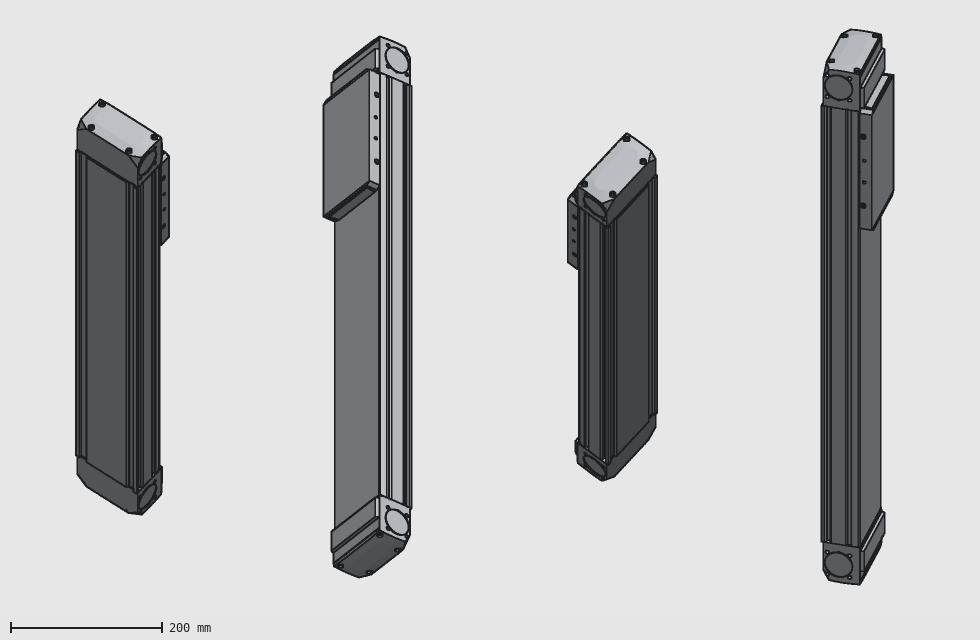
import cadquery as cq
import math

length = 811.0
width = 102.0
depth = 70.0
half_length = length / 2
half_width = width / 2

profile_front = -depth / 2
housing_front = -32.5
housing_back = 18.0
carriage_back = depth / 2

profile_half_length = 344.0
strip_thickness = 2.5
shoulder_radius = 19.5
shoulder_height = 9.0
profile_back = housing_back - strip_thickness
shoulder_start = profile_back - shoulder_height
shoulder_inset = shoulder_radius - math.sqrt(shoulder_radius**2 - shoulder_height**2)
strip_half_width = half_width - shoulder_inset

slot_chamfer = 2.5
front_slot_depth = 4.0
front_slot_outer = 45.5
front_slot_inner = 33.0
side_slot_front = -31.0
side_slot_back = -21.0
side_slot_depth = 6.0
side_slot_bevel = 2.5
groove_back = 6.5
groove_front = -2.0
groove_depth = 3.0

oval_y = -6.1
oval_center_x = 26.0
oval_radius = 12.0
slope_angle = 8.5
slope_reach = 49.0
slope_drop = slope_reach * math.tan(math.radians(slope_angle))

corner_cut_xz = 18.0
corner_cut_y = 10.0
bore_diameter = 38.0
bore_depth = 1.2
bore_y = -11.0
bore_z = 376.0
flange_hole_diameter = 5.0
flange_hole_offset_y = 15.5
flange_hole_offset_z = 17.0
flange_hole_depth = 8.0
dowel_diameter = 2.5
screw_head_diameter = 8.0
screw_head_depth = 5.0
screw_hole_diameter = 5.0
screw_hole_depth = 16.0
back_screw_x = 44.0
back_screw_y = 12.0
front_screw_x = 32.0
front_screw_y = -27.0

cover_bottom = 347.0
cover_top = 398.0
cover_thickness = 1.0
rib_bottom = 349.5
rib_top = 381.0
rib_thickness = 5.0
rib_bevel = 2.5

carriage_bottom = 155.0
carriage_top = 346.0
carriage_center_z = (carriage_bottom + carriage_top) / 2
cap_thickness = 5.0
cap_taper = 6.5
seal_thickness = 1.0
seal_margin = 2.5
seal_slant = 2.5
mount_hole_y = 23.0
mount_head_diameter = 7.0
mount_head_depth = 4.0
mount_hole_diameter = 4.0
mount_hole_offset = 54.0
pin_hole_y = 24.0
pin_hole_diameter = 4.0
pin_hole_offset = 17.0
carriage_hole_depth = 8.0


def box(x_size, y_min, y_max, z_min, z_max):
    """Box centred on X between the given Y and Z planes."""
    block = cq.Workplane("XY").box(x_size, y_max - y_min, z_max - z_min, centered=(True, False, False))
    return block.translate((0, y_min, z_min))


def side_hole(side, y, z, diameter, hole_depth):
    """Round cutter entering the -X (side = -1) or +X (side = 1) face."""
    start = cq.Vector(side * half_width, y, z)
    return cq.Workplane(cq.Solid.makeCylinder(diameter / 2, hole_depth, start, cq.Vector(-side, 0, 0)))


def end_screw_hole(x, y):
    """Counterbored screw hole entering the outer end of the top housing."""
    down = cq.Vector(0, 0, -1)
    start = cq.Vector(x, y, half_length)
    head = cq.Solid.makeCylinder(screw_head_diameter / 2, screw_head_depth, start, down)
    shank = cq.Solid.makeCylinder(screw_hole_diameter / 2, screw_hole_depth, start, down)
    return cq.Workplane(head).union(cq.Workplane(shank))


def profile_cut(points):
    """Prism along the whole profile."""
    section = cq.Workplane("XY", origin=(0, 0, -profile_half_length)).polyline(points).close()
    return section.extrude(2 * profile_half_length)


def make_profile():
    arc_angle = math.asin(shoulder_height / shoulder_radius) / 2
    arc_mid_x = half_width - shoulder_radius * (1 - math.cos(arc_angle))
    arc_mid_y = shoulder_start + shoulder_radius * math.sin(arc_angle)
    body = (
        cq.Workplane("XY", origin=(0, 0, -profile_half_length))
        .moveTo(-half_width, profile_front)
        .lineTo(half_width, profile_front)
        .lineTo(half_width, shoulder_start)
        .threePointArc((arc_mid_x, arc_mid_y), (strip_half_width, profile_back))
        .lineTo(-strip_half_width, profile_back)
        .threePointArc((-arc_mid_x, arc_mid_y), (-half_width, shoulder_start))
        .close()
        .extrude(2 * profile_half_length)
    )
    for side in (-1, 1):
        front_floor = profile_front + front_slot_depth
        front_slot = [
            (side * front_slot_outer, profile_front),
            (side * front_slot_outer, front_floor),
            (side * (front_slot_inner + slot_chamfer), front_floor),
            (side * (front_slot_inner + slot_chamfer), profile_front + slot_chamfer),
            (side * front_slot_inner, profile_front),
        ]
        side_floor = side * (half_width - side_slot_depth)
        side_lip = side * (half_width - slot_chamfer)
        side_slot = [
            (side * half_width, side_slot_front),
            (side_lip, side_slot_front + side_slot_bevel),
            (side_floor, side_slot_front + side_slot_bevel),
            (side_floor, side_slot_back - side_slot_bevel),
            (side_lip, side_slot_back - side_slot_bevel),
            (side * half_width, side_slot_back),
        ]
        groove_floor = side * (half_width - groove_depth)
        side_groove = [
            (side * half_width, groove_back),
            (groove_floor, groove_back),
            (groove_floor, groove_front + slot_chamfer),
            (side_lip, groove_front + slot_chamfer),
            (side * half_width, groove_front),
        ]
        for outline in (front_slot, side_slot, side_groove):
            body = body.cut(profile_cut(outline))
    return body


def make_cover_strip():
    return box(2 * strip_half_width, profile_back, housing_back, -profile_half_length, profile_half_length)


def sloped_end():
    """Oval top with faces falling away from it all round, down to the inner end of the housing."""
    outer_radius = oval_radius + slope_reach
    edge_z = half_length - slope_drop
    ridge = (
        cq.Workplane("YZ", origin=(-oval_center_x, oval_y, 0))
        .polyline(
            [
                (-outer_radius, profile_half_length),
                (-outer_radius, edge_z),
                (-oval_radius, half_length),
                (oval_radius, half_length),
                (outer_radius, edge_z),
                (outer_radius, profile_half_length),
            ]
        )
        .close()
        .extrude(2 * oval_center_x)
    )
    for side in (-1, 1):
        cone = (
            cq.Workplane("XZ")
            .polyline(
                [
                    (0, profile_half_length),
                    (outer_radius, profile_half_length),
                    (outer_radius, edge_z),
                    (oval_radius, half_length),
                    (0, half_length),
                ]
            )
            .close()
            .revolve(360, (0, 0, 0), (0, 1, 0))
        )
        ridge = ridge.union(cone.translate((side * oval_center_x, oval_y, 0)))
    return ridge


def corner_cut(side):
    """Tetrahedron that takes off a front outer corner of the top housing."""
    corner_x = side * half_width
    base = (
        cq.Workplane("XZ", origin=(0, housing_front, 0))
        .polyline(
            [
                (corner_x, half_length),
                (corner_x - side * corner_cut_xz, half_length),
                (corner_x, half_length - corner_cut_xz),
            ]
        )
        .close()
    )
    tip = (corner_x, housing_front + corner_cut_y, half_length)
    outline = base.val()
    corners = [vertex.toTuple() for vertex in outline.Vertices()]
    faces = [cq.Face.makeFromWires(outline)]
    for index, corner in enumerate(corners):
        triangle = [cq.Vector(p) for p in (corner, corners[(index + 1) % len(corners)], tip)]
        faces.append(cq.Face.makeFromWires(cq.Wire.makePolygon(triangle, close=True)))
    return cq.Workplane(cq.Solid.makeSolid(cq.Shell.makeShell(faces)))


def make_top_housing():
    body = box(width, housing_front, housing_back, profile_half_length, half_length).intersect(sloped_end())
    for side in (-1, 1):
        body = body.cut(corner_cut(side))
        body = body.cut(side_hole(side, bore_y, bore_z, bore_diameter, bore_depth))
        dowel_z = bore_z - bore_diameter / 2
        body = body.cut(side_hole(side, bore_y, dowel_z, dowel_diameter, bore_depth))
        for dy in (-flange_hole_offset_y, flange_hole_offset_y):
            for dz in (-flange_hole_offset_z, flange_hole_offset_z):
                hole = side_hole(side, bore_y + dy, bore_z + dz, flange_hole_diameter, flange_hole_depth)
                body = body.cut(hole)
        body = body.cut(end_screw_hole(side * back_screw_x, back_screw_y))
        body = body.cut(end_screw_hole(side * front_screw_x, front_screw_y))
    return body


def make_top_back_cover():
    rib_base = housing_back + cover_thickness
    plate = box(width, housing_back, rib_base, cover_bottom, cover_top)
    rib = (
        cq.Workplane("XY", origin=(0, 0, rib_bottom))
        .polyline(
            [
                (-half_width, rib_base),
                (half_width, rib_base),
                (half_width - rib_bevel, rib_base + rib_thickness),
                (rib_bevel - half_width, rib_base + rib_thickness),
            ]
        )
        .close()
        .extrude(rib_top - rib_bottom)
    )
    return plate.union(rib)


def make_carriage():
    body_bottom = carriage_bottom + cap_thickness
    body_top = carriage_top - cap_thickness
    body = box(width, housing_back, carriage_back, body_bottom, body_top)
    for side in (-1, 1):
        for direction in (-1, 1):
            mount_z = carriage_center_z + direction * mount_hole_offset
            pin_z = carriage_center_z + direction * pin_hole_offset
            body = body.cut(side_hole(side, mount_hole_y, mount_z, mount_head_diameter, mount_head_depth))
            body = body.cut(side_hole(side, mount_hole_y, mount_z, mount_hole_diameter, carriage_hole_depth))
            body = body.cut(side_hole(side, pin_hole_y, pin_z, pin_hole_diameter, carriage_hole_depth))
    return body


def make_carriage_cap(direction):
    """Cap that narrows away from the carriage, with a raised seal, at its top (1) or bottom (-1) end."""
    outer_z = carriage_top if direction > 0 else carriage_bottom
    face_z = outer_z - direction * seal_thickness
    inner_z = outer_z - direction * cap_thickness
    face_half_width = half_width - cap_taper
    cap = (
        cq.Workplane("XZ", origin=(0, carriage_back, 0))
        .polyline(
            [
                (-half_width, inner_z),
                (half_width, inner_z),
                (face_half_width, face_z),
                (-face_half_width, face_z),
            ]
        )
        .close()
        .extrude(carriage_back - housing_back)
    )
    seal_back_x = face_half_width - seal_margin
    seal_front_x = seal_back_x - seal_slant
    seal = (
        cq.Workplane("XY", origin=(0, 0, face_z))
        .polyline(
            [
                (-seal_front_x, housing_back),
                (seal_front_x, housing_back),
                (seal_back_x, carriage_back - seal_margin),
                (-seal_back_x, carriage_back - seal_margin),
            ]
        )
        .close()
        .extrude(direction * seal_thickness)
    )
    return cap.union(seal)


profile = make_profile()
cover_strip = make_cover_strip()
top_housing = make_top_housing()
bottom_housing = top_housing.mirror("XY")
top_back_cover = make_top_back_cover()
bottom_back_cover = top_back_cover.mirror("XY")
carriage = make_carriage()
carriage_caps = [make_carriage_cap(direction) for direction in (-1, 1)]

result = cq.Compound.makeCompound(
    [
        profile.val(),
        cover_strip.val(),
        top_housing.val(),
        bottom_housing.val(),
        top_back_cover.val(),
        bottom_back_cover.val(),
        carriage.val(),
        *[cap.val() for cap in carriage_caps],
    ]
)